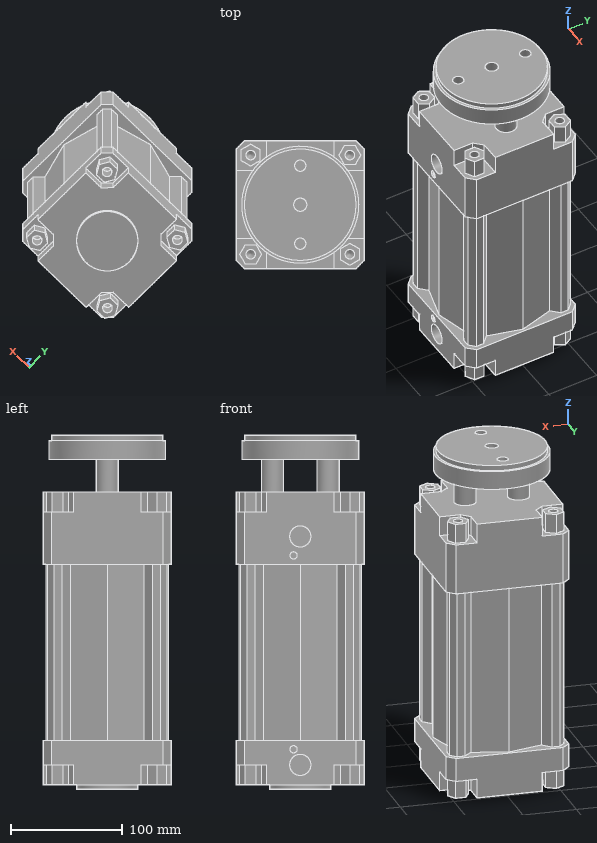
import cadquery as cq
import math

spigot_height = 4
lower_head_height = 40
tube_length = 158
upper_head_height = 65
exposed_rod_length = 29
flange_height = 17
rim_height = 5

lower_head_bottom = spigot_height
tube_bottom = lower_head_bottom + lower_head_height
tube_top = tube_bottom + tube_length
upper_head_top = tube_top + upper_head_height
flange_bottom = upper_head_top + exposed_rod_length

head_width = 115
head_chamfer = 7.5
spigot_diameter = 55

pocket_inner_edge = 30.5
pocket_inner_chamfer = 7.5
pocket_depth = 18
nut_offset = 44.5
nut_across_flats = 17
nut_hole_diameter = 8.5
nut_hole_depth = 20
drill_tip_angle = 118

port_diameter = 19
port_depth = 20
upper_port_below_top = 40
lower_port_above_bottom = 18
recess_diameter = 6.5
recess_depth = 1.5
recess_x = -6
recess_from_tube = 8

ridge_height = 55
land_height = 53.5
land_outer = 48
land_inner = 40.5
groove_depth = 7.5

flange_diameter = 105
rim_diameter = 100
rod_diameter = 20
rod_offset = 25
center_hole_diameter = 11.84
side_hole_diameter = 10.11
side_hole_offset = 35

corner_signs = [(sx, sy) for sx in (-1, 1) for sy in (-1, 1)]


def head_block(bottom, height):
    """Square head with chamfered upright corners."""
    block = cq.Workplane("XY").workplane(offset=bottom).rect(head_width, head_width).extrude(height)
    return block.edges("|Z").chamfer(head_chamfer)


def corner_pocket(sx, sy, bottom):
    """Cutter for one open corner pocket, with a bevelled inner corner."""
    near = pocket_inner_edge
    bevel_end = near + pocket_inner_chamfer
    far = head_width / 2
    corners = [(bevel_end, near), (far, near), (far, far), (near, far), (near, bevel_end)]
    outline = [(sx * x, sy * y) for x, y in corners]
    return cq.Workplane("XY").workplane(offset=bottom).polyline(outline).close().extrude(pocket_depth)


def nut(sx, sy, bottom):
    """Hexagonal nut that fills the height of its pocket."""
    circumscribed_diameter = nut_across_flats / math.cos(math.pi / 6)
    turn = 0 if sx == sy else 90
    hexagon = cq.Workplane("XY").polygon(6, circumscribed_diameter).extrude(pocket_depth)
    hexagon = hexagon.rotate((0, 0, 0), (0, 0, 1), turn)
    return hexagon.translate((sx * nut_offset, sy * nut_offset, bottom))


def nut_hole(sx, sy, mouth, direction):
    """Cutter for a drilled blind hole with a conical tip; direction is -1 down or +1 up."""
    radius = nut_hole_diameter / 2
    tip_length = radius / math.tan(math.radians(drill_tip_angle / 2))
    wall_end = direction * nut_hole_depth
    tip_end = wall_end + direction * tip_length
    half_section = [(0, 0), (radius, 0), (radius, wall_end), (0, tip_end)]
    drill = cq.Workplane("XZ").polyline(half_section).close().revolve(360, (0, 0), (0, 1))
    return drill.translate((sx * nut_offset, sy * nut_offset, mouth))


def front_hole(x, z, diameter, depth):
    """Cutter for a blind hole going in from the front face."""
    front_plane = cq.Workplane("XZ", origin=(0, -head_width / 2, 0))
    return front_plane.center(x, z).circle(diameter / 2).extrude(-depth)


def tube():
    """Profile tube between the heads; the same side outline is turned onto all four sides."""
    groove_edge = land_inner - groove_depth
    groove_floor = land_height - groove_depth
    side = [
        (-land_outer, -land_height),
        (-land_inner, -land_height),
        (-groove_edge, -groove_floor),
        (0, -ridge_height),
        (groove_edge, -groove_floor),
        (land_inner, -land_height),
        (land_outer, -land_height),
    ]
    outline = []
    for _ in range(4):
        outline += side
        side = [(-y, x) for x, y in side]
    return cq.Workplane("XY").workplane(offset=tube_bottom).polyline(outline).close().extrude(tube_length)


def make_cylinder():
    """Housing: both heads with their nuts and ports, the tube and the spigot."""
    upper_pocket_bottom = upper_head_top - pocket_depth
    body = head_block(lower_head_bottom, lower_head_height)
    body = body.union(tube())
    body = body.union(head_block(tube_top, upper_head_height))
    body = body.union(cq.Workplane("XY").circle(spigot_diameter / 2).extrude(spigot_height))

    for sx, sy in corner_signs:
        for bottom in (lower_head_bottom, upper_pocket_bottom):
            body = body.cut(corner_pocket(sx, sy, bottom))
            body = body.union(nut(sx, sy, bottom))
        body = body.cut(nut_hole(sx, sy, upper_head_top, -1))
        body = body.cut(nut_hole(sx, sy, lower_head_bottom, 1))

    for z in (lower_head_bottom + lower_port_above_bottom, upper_head_top - upper_port_below_top):
        body = body.cut(front_hole(0, z, port_diameter, port_depth))
    for z in (tube_bottom - recess_from_tube, tube_top + recess_from_tube):
        body = body.cut(front_hole(recess_x, z, recess_diameter, recess_depth))
    return body


def make_plate():
    """Round plate on two guide rods that stand on the upper head."""
    rod_plane = cq.Workplane("XY").workplane(offset=upper_head_top)
    rod_centers = [(-rod_offset, 0), (rod_offset, 0)]
    rods = rod_plane.pushPoints(rod_centers).circle(rod_diameter / 2).extrude(exposed_rod_length)
    flange_plane = cq.Workplane("XY").workplane(offset=flange_bottom)
    disc = flange_plane.circle(flange_diameter / 2).extrude(flange_height)
    disc = disc.faces(">Z").workplane().circle(rim_diameter / 2).extrude(rim_height)
    disc = disc.faces(">Z").workplane().hole(center_hole_diameter)
    side_holes = [(0, -side_hole_offset), (0, side_hole_offset)]
    disc = disc.faces(">Z").workplane(origin=(0, 0, 0)).pushPoints(side_holes).hole(side_hole_diameter)
    return disc.union(rods)


cylinder = make_cylinder()
plate = make_plate()
result = cq.Compound.makeCompound([*cylinder.solids().vals(), *plate.solids().vals()])